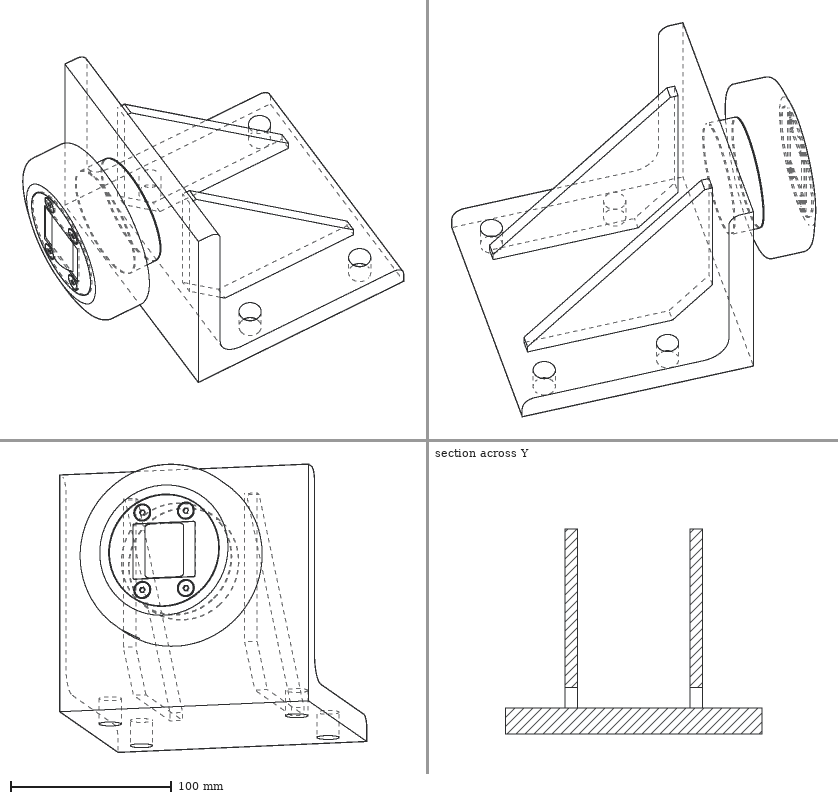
import cadquery as cq
import math

bracket_width = 160.0
leg_length = 150.0
leg_thickness = 16.0
inner_radius = leg_thickness
toe_radius = leg_thickness / 2

hole_diameter = 13.84
hole_half_spacing = 60.0
hole_rows = (50.0, 130.0)

rib_thickness = 8.0
rib_inner_offset = 35.0
rib_leg = 120.0
rib_flat = 5.0
rib_corner_cut = 26.0

axis_height = 90.0
shaft_diameter = 71.0
shaft_end_diameter = 70.5
shaft_end_length = 0.75
wheel_diameter = 111.9
tread_crown = 0.1
wheel_back = 19.7
wheel_front = 51.5
face_diameter = 82.5
cone_angle = 20.0
back_radius = 3.0
front_radius = 5.0

clearance_depth = 1.0

window_width = 40.0
window_height = 35.0
window_depth = 1.0
window_corner_radius = 1.0
roller_reach = 55.1
roller_radius = 19.3
roller_length = 34.0
roller_crown = 0.1
roller_end_radius = 2.0

screw_x = 14.0
screw_z = 24.5
screw_recess_diameter = 10.75
screw_head_diameter = 9.75
screw_recess_depth = 1.0
socket_sides = 6
socket_size = 3.5
socket_depth = 2.0


def front_plane(distance):
    """Workplane facing -Y, centred on the wheel axis, at a distance in front of the upright."""
    return cq.Workplane("XZ", origin=(0, -distance, axis_height))


def make_angle():
    """Equal-leg angle with rounded root and toes, and four holes through the base."""
    profile = (
        cq.Workplane("YZ", origin=(-bracket_width / 2, 0, 0))
        .polyline([
            (0, 0),
            (leg_length, 0),
            (leg_length, leg_thickness),
            (leg_thickness, leg_thickness),
            (leg_thickness, leg_length),
            (0, leg_length),
        ])
        .close()
        .extrude(bracket_width)
    )
    inner_edge = cq.selectors.NearestToPointSelector((0, leg_thickness, leg_thickness))
    base_toe = cq.selectors.NearestToPointSelector((0, leg_length, leg_thickness))
    upright_toe = cq.selectors.NearestToPointSelector((0, leg_thickness, leg_length))
    angle = profile.edges(inner_edge).fillet(inner_radius)
    angle = angle.edges(base_toe).fillet(toe_radius)
    angle = angle.edges(upright_toe).fillet(toe_radius)
    hole_points = [(side * hole_half_spacing, row) for side in (-1, 1) for row in hole_rows]
    holes = cq.Workplane("XY").pushPoints(hole_points).circle(hole_diameter / 2).extrude(leg_thickness)
    return angle.cut(holes)


def make_rib(start_x):
    """Triangular gusset with blunt tips and a cut corner that clears the root fillet."""
    near = leg_thickness
    far = leg_thickness + rib_leg
    return (
        cq.Workplane("YZ", origin=(start_x, 0, 0))
        .polyline([
            (near + rib_corner_cut, near),
            (far, near),
            (far, near + rib_flat),
            (near + rib_flat, far),
            (near, far),
            (near, near + rib_corner_cut),
        ])
        .close()
        .extrude(rib_thickness)
    )


def make_cylinder(diameter, start, end):
    """Cylinder on the wheel axis between two distances in front of the upright."""
    return front_plane(start).circle(diameter / 2).extrude(end - start)


def make_wheel():
    """Crowned wheel with rounded rims and a thin clearance ring around its hub."""
    tread_radius = wheel_diameter / 2
    wheel_radius = tread_radius - tread_crown
    face_radius = face_diameter / 2
    shoulder = wheel_front - (wheel_radius - face_radius) * math.tan(math.radians(cone_angle))
    wheel = (
        cq.Workplane("XY", origin=(0, 0, axis_height))
        .moveTo(0, -wheel_back)
        .lineTo(wheel_radius, -wheel_back)
        .threePointArc((tread_radius, -(wheel_back + shoulder) / 2), (wheel_radius, -shoulder))
        .lineTo(face_radius, -wheel_front)
        .lineTo(0, -wheel_front)
        .close()
        .revolve(360, (0, 0, 0), (0, 1, 0))
    )
    wheel = wheel.faces(">Y").edges().fillet(back_radius)
    wheel = wheel.faces("%CONE").edges("%CIRCLE and >Y").fillet(front_radius)
    clearance = (
        front_plane(wheel_front - clearance_depth)
        .circle(shaft_diameter / 2)
        .circle(shaft_end_diameter / 2)
        .extrude(clearance_depth)
    )
    return wheel.cut(clearance)


def make_shaft():
    """Shaft between upright and wheel, slightly reduced at both ends."""
    shaft = make_cylinder(shaft_end_diameter, 0, wheel_back)
    return shaft.union(make_cylinder(shaft_diameter, shaft_end_length, wheel_back - shaft_end_length))


def make_window():
    """Shallow rounded rectangular recess in the hub face."""
    return (
        front_plane(wheel_front - window_depth)
        .rect(window_width, window_height)
        .extrude(window_depth)
        .edges("|Y")
        .fillet(window_corner_radius)
    )


def make_roller():
    """The part of the vertical crowned roller that stands above the window floor."""
    half = roller_length / 2
    end_radius = roller_radius - roller_crown
    roller = (
        cq.Workplane("XZ", origin=(0, roller_radius - roller_reach, axis_height))
        .moveTo(0, -half)
        .lineTo(end_radius, -half)
        .threePointArc((roller_radius, 0), (end_radius, half))
        .lineTo(0, half)
        .close()
        .revolve(360, (0, 0, 0), (0, 1, 0))
    )
    roller = roller.edges("%CIRCLE").fillet(roller_end_radius)
    floor = wheel_front - window_depth
    proud_part = front_plane(floor).rect(window_width, window_height).extrude(roller_reach - floor)
    return roller.intersect(proud_part)


def make_screw_recesses():
    """Ring gaps around four screw heads, and their hexagon sockets."""
    points = [(x, z) for x in (-screw_x, screw_x) for z in (-screw_z, screw_z)]
    rings = (
        front_plane(wheel_front - screw_recess_depth)
        .pushPoints(points)
        .circle(screw_recess_diameter / 2)
        .circle(screw_head_diameter / 2)
        .extrude(screw_recess_depth)
    )
    sockets = (
        front_plane(wheel_front - socket_depth)
        .pushPoints(points)
        .polygon(socket_sides, socket_size)
        .extrude(socket_depth)
    )
    return rings.union(sockets)


result = make_angle()
for rib_start in (rib_inner_offset, -rib_inner_offset - rib_thickness):
    result = result.union(make_rib(rib_start))
result = result.union(make_shaft()).union(make_wheel())
result = result.cut(make_window()).cut(make_screw_recesses()).union(make_roller())